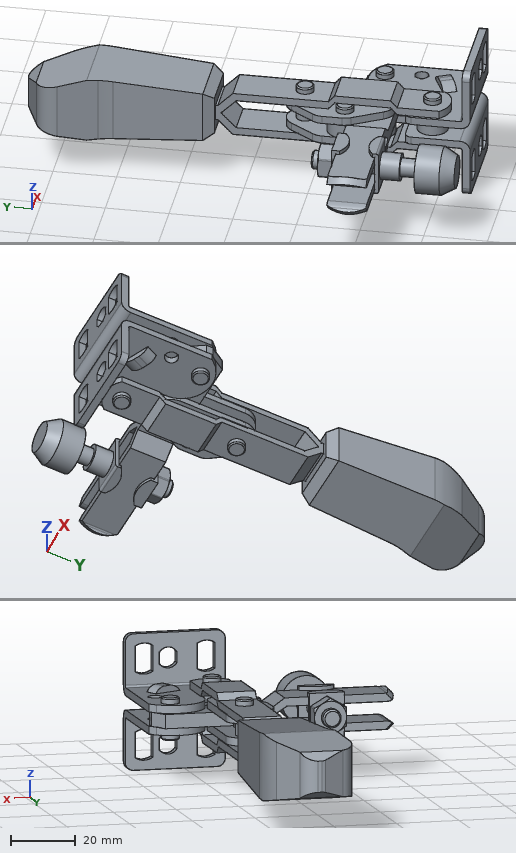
import cadquery as cq
import math


SHEET = 2.5
CORE_HALF = 2.2
INNER_OUT = CORE_HALF + SHEET
LEVER_OUT = INNER_OUT + SHEET

LEVER_PIVOT = (0, 13.0)
ARM_PIVOT = (18.0, 31.1)
LINK_TOP = (0, 53.0)
LINK_ARM = (-5.9, 39.5)
PIN_R = 2.8
HEAD_HEIGHT = 2.0
HEAD_CHAMFER = 0.4
SPACER_R = 4.9

BASE_LEFT = -7.0
BASE_RIGHT = 25.0
FLANGE_REACH = 21.5
FLANGE_CORNER_R = 2.7
BEND_INNER_R = 0.7
BEND_OUTER_R = BEND_INNER_R + SHEET
CHEEK_SHOULDER_Y = 20.6
CHEEK_SHOULDER_R = 2.1
CROWN_CENTRE = (16.3, 25.4)
CROWN_R = 10.6
CROWN_CHAMFER_START_X = 23.0
CROWN_CHAMFER_Y = 31.5
STOP_HOLE = (20.0, 20.0)
STOP_HOLE_D = 4.3
SLOT_XS = (-0.8, 19.0)
SLOT_WIDTH = 5.6
SLOT_LENGTH = 9.8
SLOT_END_RISE = 0.8
MOUNT_Z = 13.5
HOLE_X = 11.3
HOLE_D = 6.5
BUMP_CENTRE = (15.0, 11.5)
BUMP_ANGLE = 25
BUMP_LENGTH = 9.6
BUMP_WIDTH = 4.3
BUMP_LONG_END = 4.2
BUMP_FLAT = 2.0
BUMP_HEIGHT = 2.1

ARM_Y = 31.0
ARM_WIDTH = 12.3
ARM_TOP = ARM_Y + ARM_WIDTH / 2
ARM_BOTTOM = ARM_Y - ARM_WIDTH / 2
ARM_TIP_X = -52.7
ARM_TIP_BULGE = 1.8
ARM_END_X = 24.3
ARM_END_CHAMFER = (3.2, 5.0)
FORK_IN = 3.0
FORK_OUT = 5.7
SHANK_START_X = -12.0
FORK_SPLAY_X = -17.0
FORK_SPLAY_IN_X = -17.7
FORK_ROOT_X = -12.8
TIP_BEND_R = 0.8
FLARE = SHEET * math.sqrt(0.5)
LUG_R = 5.6

LEVER_WIDTH = 12.3
LEVER_END_Y = 7.1
LEVER_END_RISE = 2.8
JOG_OFFSET = 2.2
JOG_YS = (23.0, 25.1, 42.7, 44.6)
LEVER_NECK_Y = 74.6
STEM_HALF = SHEET
STEM_END_Y = 104.6

LINK_END_R = 5.9
LINK_SIDE_R = 5.3
LINK_LOBE_TOP = (LINK_ARM[0], 45.8)
LINK_BOTTOM = (LINK_TOP[0], 30.4)

GRIP_FOOT_Y = 80.1
GRIP_BEVEL_Y = 83.4
GRIP_CROWN = (-1.1, 139.5)
GRIP_HALF = 10.6

SPINDLE_X = -30.1
STUD_R = 2.9
STUD_TOP_Y = 45.3
STUD_CHAMFER = 0.5
COLLAR_R = 4.3
COLLAR_Y = 17.5
CAP_R = 7.7
CAP_TIP_R = 5.2
CAP_TOP_Y = 12.1
CAP_CONE_Y = 4.3
STUD_DEPTH = 5.6
WASHER = 1.3
WASHER_HALF_X = 5.6
UPPER_FLAP = (1.3, 3.2)
LOWER_FLAP = (0.7, 2.7)
LOWER_BEND_R = 0.8
NUT_FLATS = 10.3
NUT_HEIGHT = 4.6
NUT_CHAMFER_DROP = 0.4
NUT_CHAMFER_IN = 0.8
NUT_EDGE_R = 0.4


def slab(sketch, z_low, z_high):
    """Extrude an XY outline from z_low to z_high."""
    return sketch.extrude(z_high - z_low).translate((0, 0, z_low))


def disc(centre, radius, z_low, z_high):
    return slab(cq.Workplane("XY").center(*centre).circle(radius), z_low, z_high)


def mirrored_pair(solid):
    """The solid together with its mirror image across the middle plane."""
    return solid.union(solid.mirror("XY"))


def both_sides(points):
    """Complete a half outline with its mirror image across the first coordinate axis."""
    return points + [(a, -b) for a, b in reversed(points) if b != 0]


def rivet(centre, seat):
    """A pin through both sheets, with a head standing on each seat face."""
    length = seat + HEAD_HEIGHT
    return disc(centre, PIN_R, -length, length).faces("<Z or >Z").chamfer(HEAD_CHAMFER)


def pin_hole(centre):
    return disc(centre, PIN_R, -FLANGE_REACH, FLANGE_REACH)


def cheek_plate():
    crown_x, crown_y = CROWN_CENTRE
    chamfer_y = crown_y + math.sqrt(CROWN_R**2 - (CROWN_CHAMFER_START_X - crown_x) ** 2)
    diagonal = CROWN_R * math.sqrt(0.5)
    outline = (
        cq.Workplane("XY")
        .moveTo(BASE_LEFT, BEND_OUTER_R)
        .lineTo(BASE_LEFT, CHEEK_SHOULDER_Y - CHEEK_SHOULDER_R)
        .radiusArc((BASE_LEFT + CHEEK_SHOULDER_R, CHEEK_SHOULDER_Y), CHEEK_SHOULDER_R)
        .lineTo(crown_x - CROWN_R, CHEEK_SHOULDER_Y)
        .lineTo(crown_x - CROWN_R, crown_y)
        .threePointArc((crown_x - diagonal, crown_y + diagonal), (CROWN_CHAMFER_START_X, chamfer_y))
        .lineTo(BASE_RIGHT, CROWN_CHAMFER_Y)
        .lineTo(BASE_RIGHT, BEND_OUTER_R)
        .close()
    )
    return slab(outline, CORE_HALF, INNER_OUT).cut(disc(STOP_HOLE, STOP_HOLE_D / 2, 0, FLANGE_REACH))


def flange_slot(x):
    half = SLOT_LENGTH / 2
    straight = half - SLOT_END_RISE
    left = x - SLOT_WIDTH / 2
    right = x + SLOT_WIDTH / 2
    return (
        cq.Workplane("XZ")
        .moveTo(left, MOUNT_Z - straight)
        .lineTo(left, MOUNT_Z + straight)
        .threePointArc((x, MOUNT_Z + half), (right, MOUNT_Z + straight))
        .lineTo(right, MOUNT_Z - straight)
        .threePointArc((x, MOUNT_Z - half), (left, MOUNT_Z - straight))
        .close()
        .extrude(-SHEET)
    )


def flange_hole():
    """A round hole with flattened sides, as wide as the slots."""
    round_hole = cq.Workplane("XZ").center(HOLE_X, MOUNT_Z).circle(HOLE_D / 2).extrude(-SHEET)
    band = cq.Workplane("XZ").center(HOLE_X, MOUNT_Z).rect(SLOT_WIDTH, HOLE_D).extrude(-SHEET)
    return round_hole.intersect(band)


def flange():
    centre_y = BEND_OUTER_R
    centre_z = CORE_HALF + BEND_OUTER_R
    inner_mid = BEND_INNER_R * math.sqrt(0.5)
    outer_mid = BEND_OUTER_R * math.sqrt(0.5)
    section = (
        cq.Workplane("YZ")
        .moveTo(0, FLANGE_REACH)
        .lineTo(0, centre_z)
        .threePointArc((centre_y - outer_mid, centre_z - outer_mid), (centre_y, CORE_HALF))
        .lineTo(centre_y, INNER_OUT)
        .threePointArc((centre_y - inner_mid, centre_z - inner_mid), (SHEET, centre_z))
        .lineTo(SHEET, FLANGE_REACH)
        .close()
    )
    plate = section.extrude(BASE_RIGHT - BASE_LEFT).translate((BASE_LEFT, 0, 0))
    plate = plate.edges("|Y").edges(">Z").fillet(FLANGE_CORNER_R)
    for x in SLOT_XS:
        plate = plate.cut(flange_slot(x))
    return plate.cut(flange_hole())


def arc_half_way_height(length, height):
    """Height half way along an arc that rises from zero and ends level at the given height."""
    radius = (length**2 + height**2) / (2 * height)
    return height - radius + math.sqrt(radius**2 - (length / 2) ** 2)


def cheek_bump():
    """Pressed bump on the outer face: a flat crest between two rounded ends."""
    short_end = BUMP_LENGTH - BUMP_LONG_END - BUMP_FLAT
    long_mid = (-BUMP_LONG_END / 2, arc_half_way_height(BUMP_LONG_END, BUMP_HEIGHT))
    short_mid = (BUMP_FLAT + short_end / 2, arc_half_way_height(short_end, BUMP_HEIGHT))
    bump = (
        cq.Workplane("XZ")
        .moveTo(-BUMP_LONG_END, 0)
        .threePointArc(long_mid, (0, BUMP_HEIGHT))
        .lineTo(BUMP_FLAT, BUMP_HEIGHT)
        .threePointArc(short_mid, (BUMP_FLAT + short_end, 0))
        .close()
        .extrude(BUMP_WIDTH / 2, both=True)
        .translate((BUMP_LONG_END - BUMP_LENGTH / 2, 0, 0))
    )
    bump = bump.rotate((0, 0, 0), (0, 0, 1), BUMP_ANGLE)
    return bump.translate((*BUMP_CENTRE, INNER_OUT))


def make_base():
    cheek = cheek_plate().union(flange()).union(cheek_bump())
    return (
        mirrored_pair(cheek)
        .union(disc(LEVER_PIVOT, SPACER_R, -CORE_HALF, CORE_HALF))
        .union(rivet(LEVER_PIVOT, LEVER_OUT))
        .union(rivet(ARM_PIVOT, INNER_OUT))
    )


def make_link():
    """Each plate has two ends on the lever line and a side lobe held by the arm rivet."""
    outline = cq.Sketch()
    for centre, radius in (
        (LINK_TOP, LINK_END_R),
        (LINK_LOBE_TOP, LINK_SIDE_R),
        (LINK_ARM, LINK_SIDE_R),
        (LINK_BOTTOM, LINK_END_R),
    ):
        outline = outline.arc(centre, radius, 0, 360)
    plate = slab(cq.Workplane("XY").placeSketch(outline.hull()), CORE_HALF, INNER_OUT)
    return mirrored_pair(plate).union(rivet(LINK_TOP, LEVER_OUT)).union(rivet(LINK_ARM, INNER_OUT))


def tip_trimmer():
    """Rounds the end of the upper tip, cutting square to its 45 degree flare."""
    half_width = ARM_WIDTH / 2
    tip_point = (ARM_TIP_X, ARM_Y, FORK_IN + FLARE)
    across_flare = cq.Plane(origin=tip_point, xDir=(1, 0, -1), normal=(1, 0, 1))
    return (
        cq.Workplane(across_flare)
        .moveTo(ARM_TIP_BULGE, -half_width)
        .threePointArc((0, 0), (ARM_TIP_BULGE, half_width))
        .lineTo(-ARM_TIP_BULGE, half_width)
        .lineTo(-ARM_TIP_BULGE, -half_width)
        .close()
        .extrude(FORK_OUT, both=True)
    )


def make_arm():
    flare_x = ARM_TIP_X + FLARE
    flare_top = FORK_IN + 2 * FLARE
    bend_x = flare_x + flare_top - FORK_OUT
    half_profile = [
        (ARM_END_X, CORE_HALF),
        (SHANK_START_X, CORE_HALF),
        (FORK_SPLAY_X, FORK_OUT),
        (bend_x, FORK_OUT),
        (flare_x, flare_top),
        (ARM_TIP_X, FORK_IN + FLARE),
        (flare_x, FORK_IN),
        (FORK_SPLAY_IN_X, FORK_IN),
        (FORK_ROOT_X, 0),
    ]
    fork = cq.Workplane("XZ", origin=(0, ARM_BOTTOM, 0)).polyline(both_sides(half_profile)).close()
    fork = fork.extrude(-ARM_WIDTH)
    for side in (-1, 1):
        inner_bend = cq.NearestToPointSelector((bend_x, ARM_Y, side * FORK_OUT))
        outer_bend = cq.NearestToPointSelector((flare_x, ARM_Y, side * FORK_IN))
        fork = fork.edges("|Y").edges(inner_bend).fillet(TIP_BEND_R)
        fork = fork.edges("|Y").edges(outer_bend).fillet(TIP_BEND_R + SHEET)
    run, rise = ARM_END_CHAMFER
    for corner_y, inward in ((ARM_TOP, -1), (ARM_BOTTOM, 1)):
        corner = [(ARM_END_X, corner_y), (ARM_END_X - run, corner_y), (ARM_END_X, corner_y + inward * rise)]
        fork = fork.cut(slab(cq.Workplane("XY").polyline(corner).close(), -CORE_HALF, CORE_HALF))
    arm = fork.cut(mirrored_pair(tip_trimmer()))
    arm = arm.union(disc(LINK_ARM, LUG_R, -CORE_HALF, CORE_HALF))
    return arm.cut(pin_hole(LINK_ARM)).cut(pin_hole(ARM_PIVOT))


def leg_face(z):
    """One face of a leg, from the mounting face up past the outward jog."""
    jog_start, jog_full, jog_leave, jog_end = JOG_YS
    return [
        (0, z),
        (jog_start, z),
        (jog_full, z + JOG_OFFSET),
        (jog_leave, z + JOG_OFFSET),
        (jog_end, z),
    ]


def make_lever():
    neck_run = LEVER_OUT - STEM_HALF
    apex_y = LEVER_NECK_Y + LEVER_OUT - SHEET * math.sqrt(2)
    outer = leg_face(LEVER_OUT) + [
        (LEVER_NECK_Y, LEVER_OUT),
        (LEVER_NECK_Y + neck_run, STEM_HALF),
        (STEM_END_Y, STEM_HALF),
    ]
    inner = leg_face(INNER_OUT) + [(apex_y - INNER_OUT, INNER_OUT), (apex_y, 0)]
    strip = cq.Workplane("YZ").polyline(both_sides(outer)).close().extrude(LEVER_WIDTH / 2, both=True)
    gap = cq.Workplane("YZ").polyline(both_sides(inner)).close().extrude(LEVER_WIDTH, both=True)
    strip = strip.cut(gap)
    half_width = LEVER_WIDTH / 2
    end_corner_y = LEVER_END_Y + LEVER_END_RISE
    outline = (
        cq.Workplane("XY")
        .moveTo(-half_width, end_corner_y)
        .threePointArc((0, LEVER_END_Y), (half_width, end_corner_y))
        .lineTo(half_width, STEM_END_Y)
        .lineTo(-half_width, STEM_END_Y)
        .close()
    )
    lever = strip.intersect(slab(outline, -FLANGE_REACH, FLANGE_REACH))
    return lever.cut(pin_hole(LEVER_PIVOT)).cut(pin_hole(LINK_TOP))


def make_grip(lever):
    outline = (
        cq.Workplane("XY")
        .moveTo(-8.2, GRIP_FOOT_Y)
        .lineTo(-9.9, GRIP_BEVEL_Y)
        .lineTo(-10.3, 111.6)
        .threePointArc((-10.5, 114.0), (-10.9, 116.2))
        .lineTo(-14.2, 128.5)
        .threePointArc((-13.4, 133.0), (-10.2, 135.6))
        .lineTo(-3.6, 139.2)
        .threePointArc(GRIP_CROWN, (3.6, 135.6))
        .lineTo(8.8, 127.0)
        .threePointArc((10.7, 121.6), (11.5, 116.0))
        .lineTo(9.9, GRIP_BEVEL_Y)
        .lineTo(8.0, GRIP_FOOT_Y)
        .close()
    )
    half_profile = [
        (GRIP_FOOT_Y, 6.1),
        (GRIP_BEVEL_Y, 8.2),
        (119.5, GRIP_HALF),
        (135.7, 7.3),
        (GRIP_CROWN[1], 4.9),
    ]
    side = cq.Workplane("YZ").polyline(both_sides(half_profile)).close()
    side = side.extrude(GRIP_HALF * 2, both=True)
    return slab(outline, -GRIP_HALF, GRIP_HALF).intersect(side).cut(lever)


def spindle_cylinder(radius, y_low, y_high):
    disc_at_zero = cq.Workplane("XZ").circle(radius).extrude(y_low - y_high)
    return disc_at_zero.translate((SPINDLE_X, y_low, 0))


def washer(flap_overlap):
    """The upper washer: a plate on the arm's edge with a rounded flap over each face."""
    side, middle = flap_overlap
    flap_out = FORK_OUT + WASHER
    plate_top = ARM_TOP + WASHER
    plate = cq.Workplane("XY").box(2 * WASHER_HALF_X, WASHER, 2 * flap_out)
    plate = plate.translate((0, ARM_TOP + WASHER / 2, 0))
    flap_outline = (
        cq.Workplane("XY")
        .moveTo(-WASHER_HALF_X, plate_top)
        .lineTo(-WASHER_HALF_X, ARM_TOP - side)
        .threePointArc((0, ARM_TOP - middle), (WASHER_HALF_X, ARM_TOP - side))
        .lineTo(WASHER_HALF_X, plate_top)
        .close()
    )
    body = plate.union(mirrored_pair(slab(flap_outline, FORK_OUT, flap_out)))
    return body.translate((SPINDLE_X, 0, 0))


def nut():
    seat_y = ARM_TOP + WASHER
    corner_diameter = NUT_FLATS / math.cos(math.pi / 6)
    prism = cq.Workplane("XZ").polygon(6, corner_diameter).extrude(-NUT_HEIGHT)
    prism = prism.edges("|Y").fillet(NUT_EDGE_R).rotate((0, 0, 0), (0, 1, 0), 30)
    dome = (
        cq.Workplane("XZ")
        .circle(corner_diameter / 2)
        .extrude(-NUT_HEIGHT)
        .faces(">Y")
        .chamfer(NUT_CHAMFER_DROP, NUT_CHAMFER_IN)
    )
    return prism.intersect(dome).translate((SPINDLE_X, seat_y, 0))


def make_spindle():
    upper_washer = washer(UPPER_FLAP)
    lower_washer = washer(LOWER_FLAP).edges("|X").edges(">Y").fillet(LOWER_BEND_R)
    lower_washer = lower_washer.mirror("XZ", (0, ARM_Y, 0))
    stud = spindle_cylinder(STUD_R, CAP_TOP_Y - STUD_DEPTH, STUD_TOP_Y)
    stud = stud.faces(">Y").chamfer(STUD_CHAMFER)
    collar = spindle_cylinder(COLLAR_R, COLLAR_Y, ARM_BOTTOM - WASHER)
    return stud.union(collar).union(lower_washer).union(upper_washer).union(nut())


def make_cap():
    section = (
        cq.Workplane("XY")
        .polyline([(0, 0), (CAP_TIP_R, 0), (CAP_R, CAP_CONE_Y), (CAP_R, CAP_TOP_Y), (0, CAP_TOP_Y)])
        .close()
    )
    cap = section.revolve(360, (0, 0, 0), (0, 1, 0)).translate((SPINDLE_X, 0, 0))
    return cap.cut(spindle_cylinder(STUD_R, CAP_TOP_Y - STUD_DEPTH, CAP_TOP_Y))


base = make_base()
link = make_link()
arm = make_arm()
lever = make_lever()
grip = make_grip(lever)
spindle = make_spindle()
cap = make_cap()

bodies = [base, link, arm, lever, grip, spindle, cap]
result = cq.Compound.makeCompound([body.solids().val() for body in bodies])